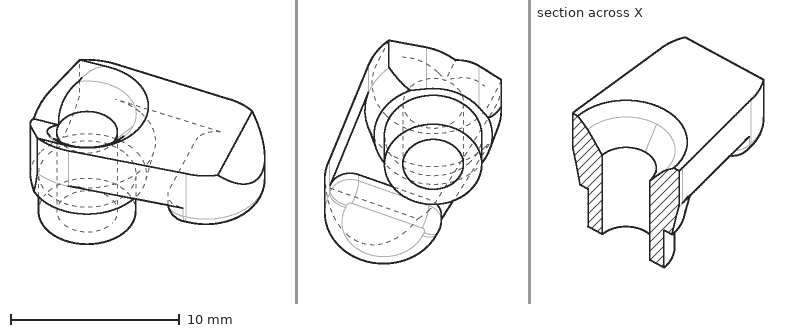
import cadquery as cq
import math

ARM_THICKNESS = 2.85
HUB_BOTTOM = -5.48
STEM_BOTTOM = -8.5
TAB_BOTTOM = -4.49

HUB_TOP_RADIUS = 4.048
HUB_BOTTOM_RADIUS = 3.51
NOSE_RADIUS = 3.38
NOSE_HALF_ANGLE = 30
STEM_RADIUS = 2.89
HOLE_RADIUS = 1.8

SINK_TOP_RADIUS = 3.64
SINK_MIDDLE_RADIUS = 2.9
SINK_MIDDLE_DEPTH = 0.65
NOTCH_SLOPE = 30
NOTCH_DEPTH = SINK_TOP_RADIUS * math.tan(math.radians(NOTCH_SLOPE))

ARM_LENGTH = 14.38 - NOSE_RADIUS
TIP_RADIUS = 3.5
TIP_CENTRE = ARM_LENGTH - TIP_RADIUS
END_SLOPE_RUN = 1.65
END_SLOPE_DROP = 1.97
TAB_INNER_X = 6.0
TAB_CORNER_RADIUS = 1.25
TAB_FILLET = 1


def arm_side_line():
    """Ends of the straight +Y side: tangent to the hub, meeting the end of the tip semicircle."""
    tip_end = (TIP_CENTRE, TIP_RADIUS)
    tip_angle = math.atan2(TIP_RADIUS, TIP_CENTRE)
    tangent_angle = tip_angle + math.acos(HUB_TOP_RADIUS / math.hypot(*tip_end))
    hub_end = (HUB_TOP_RADIUS * math.cos(tangent_angle), HUB_TOP_RADIUS * math.sin(tangent_angle))
    return hub_end, tip_end


def mirrored(point):
    return (point[0], -point[1])


def arm_outline():
    hub_end, tip_end = arm_side_line()
    return (
        cq.Workplane("XY")
        .moveTo(*hub_end)
        .lineTo(*tip_end)
        .threePointArc((ARM_LENGTH, 0), mirrored(tip_end))
        .lineTo(*mirrored(hub_end))
        .threePointArc((-HUB_TOP_RADIUS, 0), hub_end)
        .close()
    )


def make_tab():
    """Tab under the arm tip with two rounded inner corners and a rounded bottom edge."""
    hub_end, tip_end = arm_side_line()
    side_slope = (tip_end[1] - hub_end[1]) / (tip_end[0] - hub_end[0])
    inner_corner = (TAB_INNER_X, tip_end[1] + side_slope * (TAB_INNER_X - tip_end[0]))
    return (
        cq.Workplane("XY")
        .workplane(offset=TAB_BOTTOM)
        .moveTo(*inner_corner)
        .lineTo(*tip_end)
        .threePointArc((ARM_LENGTH, 0), mirrored(tip_end))
        .lineTo(*mirrored(inner_corner))
        .close()
        .extrude(-ARM_THICKNESS - TAB_BOTTOM)
        .edges("|Z and (<X)")
        .fillet(TAB_CORNER_RADIUS)
        .faces("<Z")
        .edges()
        .fillet(TAB_FILLET)
    )


def make_hub():
    """Tapered hub under the arm with the cylindrical stem below it."""
    return (
        cq.Workplane("XZ")
        .polyline([
            (0, STEM_BOTTOM),
            (STEM_RADIUS, STEM_BOTTOM),
            (STEM_RADIUS, HUB_BOTTOM),
            (HUB_BOTTOM_RADIUS, HUB_BOTTOM),
            (HUB_TOP_RADIUS, -ARM_THICKNESS),
            (0, -ARM_THICKNESS),
        ])
        .close()
        .revolve(360, (0, 0), (0, 1))
    )


def make_nose_envelope():
    """Prism whose -X end is a rounded nose with two flanks tangent to it."""
    angle = math.radians(NOSE_HALF_ANGLE)
    tangent = (-NOSE_RADIUS * math.cos(angle), NOSE_RADIUS * math.sin(angle))
    half_width = ARM_LENGTH
    flank_end = (tangent[0] + (half_width - tangent[1]) * math.tan(angle), half_width)
    envelope_end_x = 2 * ARM_LENGTH
    return (
        cq.Workplane("XY")
        .workplane(offset=STEM_BOTTOM)
        .moveTo(*mirrored(tangent))
        .threePointArc((-NOSE_RADIUS, 0), tangent)
        .lineTo(*flank_end)
        .lineTo(envelope_end_x, half_width)
        .lineTo(envelope_end_x, -half_width)
        .lineTo(*mirrored(flank_end))
        .close()
        .extrude(-STEM_BOTTOM)
    )


def make_hole():
    """Through hole with its two-stage countersink."""
    return (
        cq.Workplane("XZ")
        .polyline([
            (0, STEM_BOTTOM),
            (HOLE_RADIUS, STEM_BOTTOM),
            (HOLE_RADIUS, -NOTCH_DEPTH),
            (SINK_MIDDLE_RADIUS, -SINK_MIDDLE_DEPTH),
            (SINK_TOP_RADIUS, 0),
            (0, 0),
        ])
        .close()
        .revolve(360, (0, 0), (0, 1))
    )


def make_notch():
    """V notch running along X from the nose to the hole axis."""
    return (
        cq.Workplane("YZ")
        .polyline([(-SINK_TOP_RADIUS, 0), (0, -NOTCH_DEPTH), (SINK_TOP_RADIUS, 0)])
        .close()
        .extrude(-HUB_TOP_RADIUS)
    )


def make_end_slope():
    """Wedge removed from the top of the arm tip."""
    return (
        cq.Workplane("XZ")
        .polyline([
            (ARM_LENGTH - END_SLOPE_RUN, 0),
            (ARM_LENGTH, 0),
            (ARM_LENGTH, -END_SLOPE_DROP),
        ])
        .close()
        .extrude(TIP_RADIUS, both=True)
    )


arm = arm_outline().extrude(-ARM_THICKNESS)
body = arm.union(make_hub()).union(make_tab()).intersect(make_nose_envelope())
result = body.cut(make_hole()).cut(make_notch()).cut(make_end_slope())